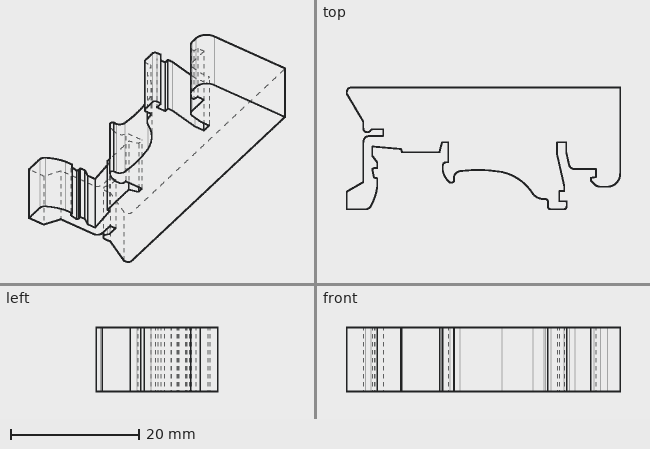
import cadquery as cq
import math


length = 42.6
height = 19.0
thickness = 10.0

nose_radius = 0.7
arm_left = 2.57
arm_right = 3.98
flexure_top = 12.48
upright_slot_top = 10.46
body_left = 15.81
bay_left_end = (17.58, 5.94)
bay_right_end = (29.0, 2.4)
ledge = 1.59
slot_left = 32.75
right_corner_radius = 2.05


def bulge(path, end, radius):
    """Add an arc that rounds the material outwards."""
    return path.radiusArc(end, -radius)


def hollow(path, end, radius):
    """Add an arc that is hollowed into the material."""
    return path.radiusArc(end, radius)


def slanted_nose(path):
    """Left end of the top bar: rounded corner, slanted face and rounded lip."""
    slant_top = 18.0
    slant_bottom = 13.65
    lip_start = 12.65
    lip_end = (3.7, 12.25)
    lip_radius = 0.63
    blend_end = (4.05, flexure_top)
    blend_radius = 0.5
    path = bulge(path, (0, height - nose_radius), nose_radius)
    path = path.lineTo(0, slant_top).lineTo(arm_left, slant_bottom)
    path = path.lineTo(arm_left, lip_start)
    path = bulge(path, lip_end, lip_radius)
    return hollow(path, blend_end, blend_radius)


def flexure_slot(path):
    """Horizontal slot that frees the root of the left spring arm."""
    slot_end = 5.66
    lower_face = 11.45
    shoulder_radius = 0.95
    path = path.lineTo(slot_end, flexure_top).lineTo(slot_end, lower_face)
    path = path.lineTo(arm_left + shoulder_radius, lower_face)
    return bulge(path, (arm_left, lower_face - shoulder_radius), shoulder_radius)


def release_tab(path):
    """Tab at the free end of the spring arm, with a rounded toe and a cam face."""
    tab_slope = math.radians(30)
    tab_top = 2.78
    toe_start = 2.9
    toe_end = (3.75, 0.48)
    toe_radius = 1.0
    cam_middle = (4.37, 1.85)
    cam_end = (4.78, 3.6)
    path = path.lineTo(arm_left, tab_top + arm_left * math.tan(tab_slope))
    path = path.lineTo(0, tab_top).lineTo(0, 0).lineTo(toe_start, 0)
    path = bulge(path, toe_end, toe_radius)
    return path.threePointArc(cam_middle, cam_end)


def arm_teeth(path):
    """Inner face of the spring arm: two teeth with a notch between them."""
    tooth_tip = 4.78
    lower_tooth_top = 4.87
    notch_bottom = (4.27, 4.95)
    notch_top = (arm_right, 6.3)
    upper_tooth_bottom = 6.45
    upper_tooth_chamfer = 0.35
    slope_start = 7.3
    slope_end = 8.36
    arm_root = 9.78
    path = path.lineTo(tooth_tip, lower_tooth_top)
    path = path.lineTo(*notch_bottom).lineTo(*notch_top)
    path = path.lineTo(arm_right + upper_tooth_chamfer, upper_tooth_bottom)
    path = path.lineTo(tooth_tip, upper_tooth_bottom).lineTo(tooth_tip, slope_start)
    return path.lineTo(arm_right, slope_end).lineTo(arm_right, arm_root)


def stepped_underside(path):
    """Sloping underside, flat pad and the upright slot beside the central body."""
    slope_end = (8.44, 9.39)
    pad_level = 8.9
    pad_left = 8.6
    pad_right = 14.45
    slot_top_left = 14.86
    path = path.lineTo(*slope_end)
    path = path.lineTo(pad_left, pad_level).lineTo(pad_right, pad_level)
    return path.lineTo(slot_top_left, upright_slot_top).lineTo(body_left, upright_slot_top)


def hook(path):
    """Rounded hook at the lower left of the central body."""
    hook_left = 14.93
    hook_top = 7.35
    shoulder_radius = 0.55
    back_start = 6.1
    back_end = (16.03, 4.22)
    back_radius = 3.0
    tip_end = (16.73, 4.45)
    tip_radius = 0.46
    throat_start = (16.7, 4.95)
    throat_radius = 1.15
    path = path.lineTo(body_left, hook_top)
    path = path.lineTo(hook_left + shoulder_radius, hook_top)
    path = bulge(path, (hook_left, hook_top - shoulder_radius), shoulder_radius)
    path = path.lineTo(hook_left, back_start)
    path = bulge(path, back_end, back_radius)
    path = bulge(path, tip_end, tip_radius)
    path = path.lineTo(*throat_start)
    return hollow(path, bay_left_end, throat_radius)


def curved_bay(path):
    """Wide shallow bay under the central body: a flat arc, then a tighter one."""
    flat_arc_middle = (20.8, 6.14)
    arc_joint = (24.12, 5.82)
    tight_arc_middle = (26.9, 4.62)
    ledge_start = 30.67
    blend_radius = 2.2
    path = path.threePointArc(flat_arc_middle, arc_joint)
    path = path.threePointArc(tight_arc_middle, bay_right_end)
    return bulge(path, (ledge_start, ledge), blend_radius)


def foot(path):
    """Foot under the central body, with a latch notch on its right side."""
    foot_left = 31.33
    foot_right = 34.27
    corner_radius = 0.4
    heel_radius = 0.45
    toe_radius = 0.5
    toe_top = 1.3
    toe_top_radius = 0.15
    notch_left = 33.13
    notch_top = 2.85
    neck_right = 33.88
    neck_top = 3.7
    slope_top = 8.7
    path = path.lineTo(foot_left - corner_radius, ledge)
    path = hollow(path, (foot_left, ledge - corner_radius), corner_radius)
    path = path.lineTo(foot_left, heel_radius)
    path = bulge(path, (foot_left + heel_radius, 0), heel_radius)
    path = path.lineTo(foot_right - toe_radius, 0)
    path = bulge(path, (foot_right, toe_radius), toe_radius)
    path = path.lineTo(foot_right, toe_top - toe_top_radius)
    path = bulge(path, (foot_right - toe_top_radius, toe_top), toe_top_radius)
    path = path.lineTo(notch_left, toe_top).lineTo(notch_left, notch_top)
    path = path.lineTo(neck_right, notch_top).lineTo(neck_right, neck_top)
    return path.lineTo(slot_left, slope_top).lineTo(slot_left, upright_slot_top)


def right_leg(path):
    """Right upright slot and the leg with an inward catch at its lower end."""
    slot_right = 34.18
    slope_top = 8.84
    slope_bottom = (34.62, 6.9)
    blend_end = 35.5
    blend_radius = 0.9
    underside = 6.26
    recess_right = 38.81
    recess_bottom = 5.07
    catch_left = 38.02
    catch_top = 4.91
    catch_bottom = 4.45
    heel_start = (38.48, 4.0)
    heel_end = 39.5
    heel_radius = 1.5
    leg_bottom = 3.5
    path = path.lineTo(slot_right, upright_slot_top).lineTo(slot_right, slope_top)
    path = path.lineTo(*slope_bottom)
    path = bulge(path, (blend_end, underside), blend_radius)
    path = path.lineTo(recess_right, underside).lineTo(recess_right, recess_bottom)
    path = path.lineTo(catch_left, catch_top).lineTo(catch_left, catch_bottom)
    path = path.lineTo(*heel_start)
    path = bulge(path, (heel_end, leg_bottom), heel_radius)
    path = path.lineTo(length - right_corner_radius, leg_bottom)
    return bulge(path, (length, leg_bottom + right_corner_radius), right_corner_radius)


sections = (
    slanted_nose,
    flexure_slot,
    release_tab,
    arm_teeth,
    stepped_underside,
    hook,
    curved_bay,
    foot,
    right_leg,
)
profile = cq.Workplane("XY").moveTo(nose_radius, height)
for add_section in sections:
    profile = add_section(profile)
result = profile.lineTo(length, height).close().extrude(thickness)